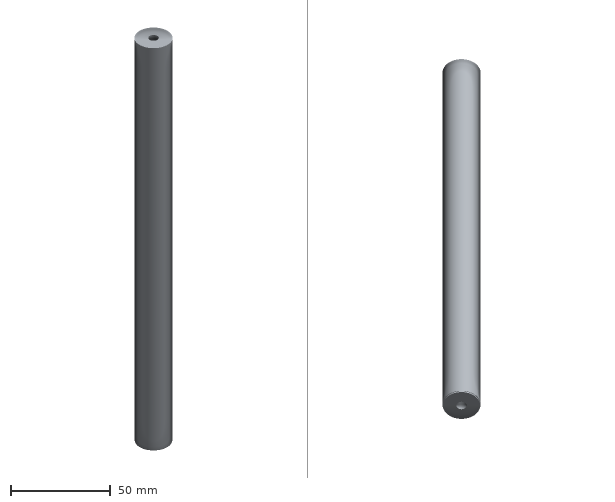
import cadquery as cq

TOTAL_LENGTH = 240.0
TUBE_DIAMETER = 19.2
BORE_DIAMETER = 5.3

WASHER_THICKNESS = 0.7
WASHER_DIAMETER = 18.7


def ring(outer_diameter, height, base_z):
    """Round body along Z with the common bore running through it."""
    return (
        cq.Workplane("XY", origin=(0, 0, base_z))
        .circle(outer_diameter / 2)
        .circle(BORE_DIAMETER / 2)
        .extrude(height)
    )


def make_washer():
    """Washer closing the lower end of the tube."""
    return ring(WASHER_DIAMETER, WASHER_THICKNESS, 0)


def make_tube():
    """Long tube standing on the washer."""
    return ring(TUBE_DIAMETER, TOTAL_LENGTH - WASHER_THICKNESS, WASHER_THICKNESS)


washer = make_washer()
tube = make_tube()

result = cq.Compound.makeCompound([tube.val(), washer.val()])